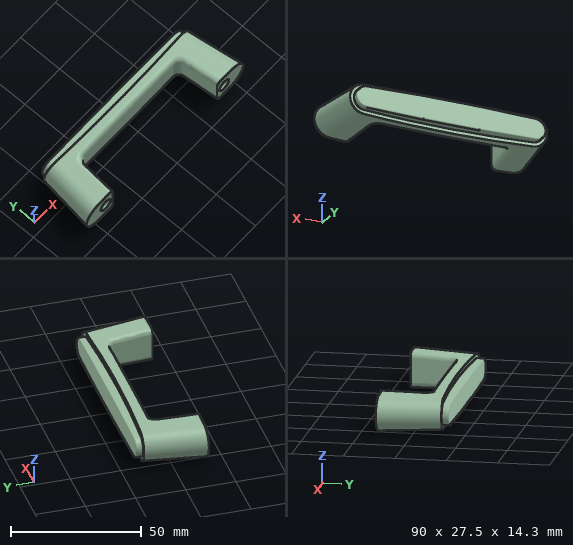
import cadquery as cq
import math


length = 90.0
top_length = 83.3
shoulder_height = 24.8
sag = 1.3

foot_mid_half_width = 7.8
foot_end_half_width = 6.9
top_mid_half_width = 6.75
top_end_half_width = 6.1

opening_foot_width = 59.8
opening_top_width = 56.2
opening_height = 18.4
opening_corner_radius = 2.9
rim_radius = 2.2

hole_spacing = 68.0
hole_diameter = 5.6
hole_depth = 11.7
drill_point_angle = 118.0

total_height = 27.5
cover_length = 79.9
cover_mid_half_width = 5.0
cover_end_half_width = 4.4
cover_edge_radius = 0.6

cut_margin = 9.0
box_margin = 0.1


def bowed_slot(plane, overall_length, mid_half_width, end_half_width):
    """Outline with gently bowed long sides and round ends."""
    tip = overall_length / 2
    tangent = tip - end_half_width
    return (
        plane.moveTo(-tangent, end_half_width)
        .threePointArc((0, mid_half_width), (tangent, end_half_width))
        .threePointArc((tip, 0), (tangent, -end_half_width))
        .threePointArc((0, -mid_half_width), (-tangent, -end_half_width))
        .threePointArc((-tip, 0), (-tangent, end_half_width))
        .close()
    )


def above_concave_top():
    """Space above the concave top surface of the handle."""
    edge = top_length / 2
    side = edge + cut_margin
    ceiling = total_height + cut_margin
    return (
        cq.Workplane("XY")
        .moveTo(-side, shoulder_height)
        .lineTo(-edge, shoulder_height)
        .threePointArc((0, shoulder_height - sag), (edge, shoulder_height))
        .lineTo(side, shoulder_height)
        .lineTo(side, ceiling)
        .lineTo(-side, ceiling)
        .close()
        .extrude(foot_mid_half_width + cut_margin, both=True)
    )


def hand_opening():
    """Tapered opening with rounded upper corners, cut through across Z."""
    foot = opening_foot_width / 2
    top = opening_top_width / 2
    return (
        cq.Workplane("XY")
        .polyline([(-foot, 0), (-top, opening_height), (top, opening_height), (foot, 0)])
        .close()
        .extrude(foot_mid_half_width + cut_margin, both=True)
        .edges("|Z and >Y")
        .fillet(opening_corner_radius)
    )


def mounting_hole(x):
    """Drilled blind hole with a conical bottom."""
    radius = hole_diameter / 2
    point_depth = radius / math.tan(math.radians(drill_point_angle / 2))
    profile = [(0, 0), (radius, 0), (radius, hole_depth), (0, hole_depth + point_depth)]
    return (
        cq.Workplane("XY")
        .polyline(profile)
        .close()
        .revolve(360, (0, 0), (0, 1))
        .translate((x, 0, 0))
    )


def make_handle():
    foot_plane = cq.Workplane("XZ")
    foot = bowed_slot(foot_plane, length, foot_mid_half_width, foot_end_half_width)
    top_plane = foot.workplane(offset=-shoulder_height)
    handle = bowed_slot(
        top_plane, top_length, top_mid_half_width, top_end_half_width
    ).loft(ruled=True, combine=True)

    handle = handle.cut(hand_opening())

    reach = opening_foot_width / 2 + box_margin
    ceiling = opening_height + box_margin
    for side_face in (-foot_mid_half_width, foot_mid_half_width):
        rim = cq.selectors.BoxSelector((-reach, box_margin, side_face / 2), (reach, ceiling, side_face))
        handle = handle.edges(rim).fillet(rim_radius)

    handle = handle.cut(above_concave_top())
    for x in (-hole_spacing / 2, hole_spacing / 2):
        handle = handle.cut(mounting_hole(x))
    return handle


def make_cover():
    base = cq.Workplane("XZ", origin=(0, shoulder_height - sag, 0))
    strip = (
        bowed_slot(base, cover_length, cover_mid_half_width, cover_end_half_width)
        .extrude(shoulder_height - sag - total_height)
        .faces(">Y")
        .edges()
        .fillet(cover_edge_radius)
    )
    return strip.intersect(above_concave_top())


handle = make_handle()
cover = make_cover()
result = cq.Compound.makeCompound([handle.val(), cover.val()])